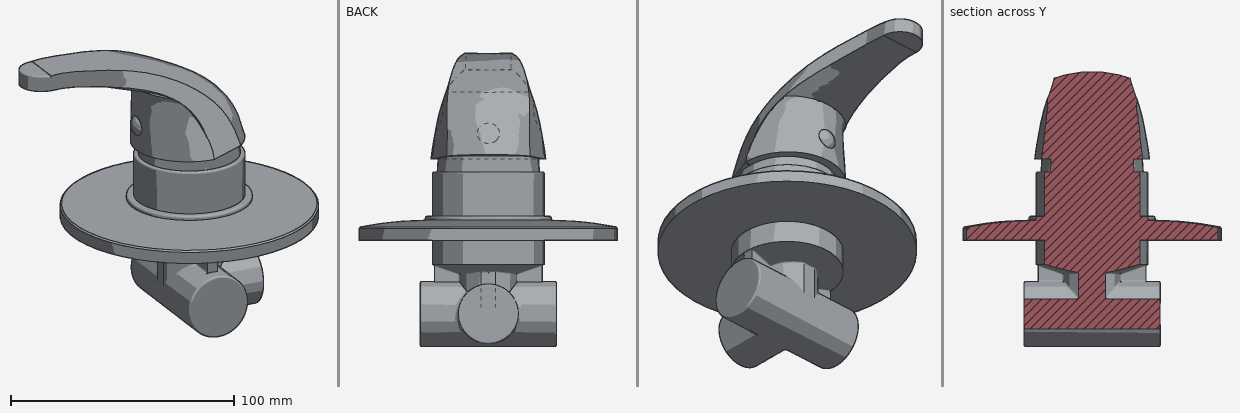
import cadquery as cq

inlet_radius = 14.6
inlet_length = 61.2
outlet_radius = 13.5
outlet_reach = 30.9
pipe_end_fillet = 0.8
outlet_blend = 1.7

neck_half_width = 12.9
neck_front = 14.3
neck_back = 15.6
neck_flat_half = 3.3
neck_shoulder_x = 9.9
neck_front_shoulder = 9.3
neck_back_shoulder = 10.2

rib_half_length = 24.2
rib_thickness = 5.0

casting_blend = 0.8
cone_blend = 0.7
cone_corner_depth = 4.4
cone_corner_margin = 0.1

root_overlap = 4.2

body_radius = 25.0
body_bottom = 22.2
body_top = 63.7
body_top_fillet = 0.8
cone_small_radius = 9.2
cone_bottom = 16.7

plate_radius = 57.99
plate_bottom = 33.0
plate_edge_top = 39.1
plate_edge_round = 0.7
plate_dome_top = 42.0
plate_dome_middle = (43.2, 41.2)
ring_radius = 28.3
ring_top = 43.9
ring_round = 1.1

collar_radius = 23.0
collar_top_radius = 22.5
collar_top = 70.8

handle_front = 26.5
handle_base_levels = [
    (69.4, 25.8, 0.0),
    (77.2, 24.6, -1.5),
    (85.0, 23.1, -5.1),
    (93.0, 21.1, -10.2),
    (99.4, 18.8, -18.4),
]
handle_base_back = 4.2

tip_radius = 10.0
tip_top = 116.7
tip_thickness = 7.2
tip_fillet = 0.7
tip_center_y = tip_radius - 83.61

screw_z = 81.0
screw_radius = 4.5
screw_height = 2.0

lever_stations = [
    ((24.9, 71.5), (-17.6, -1.5), 8.2, 18.7, 25.0, 25.8, 0.3),
    ((10.6, 96.0), (-1.0, -1.0), 6.7, 18.5, 20.0, 23.8, 0.3),
    ((-4.2, 105.2), (-0.4, -0.9), 4.0, 17.8, 13.5, 21.2, 0.3),
    ((-26.9, 113.1), (0.0, -1.0), 1.4, 15.2, 9.6, 16.5, 4.1),
    ((-46.7, 116.3), (0.0, -1.0), 0.5, 12.5, 8.5, 12.7, 2.7),
    ((-60.2, 117.0), (0.0, -1.0), 0.1, 10.8, 7.6, 10.9, 0.8),
    ((tip_center_y, tip_top), (0.0, -1.0), 0.1, tip_radius, tip_thickness, tip_radius, 0.1),
]


def z_cylinder(radius, bottom, top):
    return cq.Workplane("XY").workplane(offset=bottom).circle(radius).extrude(top - bottom)


def make_plate():
    edge_inner = plate_radius - plate_edge_round
    plate = (
        cq.Workplane("XZ")
        .moveTo(0, plate_bottom)
        .lineTo(plate_radius, plate_bottom)
        .lineTo(plate_radius, plate_edge_top - plate_edge_round)
        .lineTo(edge_inner, plate_edge_top)
        .threePointArc(plate_dome_middle, (ring_radius, plate_dome_top))
        .lineTo(0, plate_dome_top)
        .close()
        .revolve(360, (0, 0, 0), (0, 1, 0))
    )
    ring = z_cylinder(ring_radius, plate_bottom, ring_top).faces(">Z").edges().fillet(ring_round)
    return plate.union(ring)


def make_body():
    body = (
        cq.Workplane("YZ")
        .moveTo(0, cone_bottom)
        .lineTo(cone_small_radius, cone_bottom)
        .lineTo(body_radius, body_bottom)
        .lineTo(body_radius, body_top)
        .lineTo(0, body_top)
        .close()
        .revolve(360, (0, 0, 0), (0, 1, 0))
        .faces(">Z")
        .edges()
        .fillet(body_top_fillet)
    )
    collar = cq.Workplane("XY").add(
        cq.Solid.makeCone(
            collar_radius, collar_top_radius, collar_top - body_top, cq.Vector(0, 0, body_top)
        )
    )
    return body.union(collar)


def make_pipes():
    inlet = (
        cq.Workplane("YZ")
        .circle(inlet_radius)
        .extrude(inlet_length / 2, both=True)
        .faces("<X or >X")
        .edges()
        .fillet(pipe_end_fillet)
    )
    outlet = (
        cq.Workplane("XZ")
        .circle(outlet_radius)
        .extrude(-outlet_reach)
        .faces(">Y")
        .edges()
        .fillet(pipe_end_fillet)
    )
    meeting = cq.selectors.BoxSelector(
        (-outlet_radius, 0, -outlet_radius), (outlet_radius, inlet_radius, outlet_radius)
    )
    return inlet.union(outlet).edges(meeting).fillet(outlet_blend)


def make_neck():
    return (
        cq.Workplane("XY")
        .moveTo(-neck_flat_half, -neck_front)
        .lineTo(neck_flat_half, -neck_front)
        .threePointArc((neck_shoulder_x, -neck_front_shoulder), (neck_half_width, 0))
        .threePointArc((neck_shoulder_x, neck_back_shoulder), (neck_flat_half, neck_back))
        .lineTo(-neck_flat_half, neck_back)
        .threePointArc((-neck_shoulder_x, neck_back_shoulder), (-neck_half_width, 0))
        .threePointArc((-neck_shoulder_x, -neck_front_shoulder), (-neck_flat_half, -neck_front))
        .close()
        .extrude(body_bottom + root_overlap)
    )


def make_ribs():
    return cq.Workplane("XY").box(
        2 * rib_half_length, rib_thickness, body_bottom + root_overlap, centered=(True, True, False)
    )


def handle_base_section(height, half_width, side_y):
    left = cq.Vector(-half_width, side_y, height)
    right = cq.Vector(half_width, side_y, height)
    front = cq.Vector(0, -handle_front, height)
    back = cq.Vector(0, side_y + handle_base_back, height)
    return cq.Wire.assembleEdges(
        [cq.Edge.makeThreePointArc(left, front, right), cq.Edge.makeThreePointArc(right, back, left)]
    )


def make_handle_base():
    sections = [handle_base_section(*level) for level in handle_base_levels]
    return cq.Workplane("XY").add(cq.Solid.makeLoft(sections))


def lever_section(crest, inward, upper_depth, upper_half, lower_depth, lower_half, bulge):
    direction = cq.Vector(0, *inward).normalized()
    top = cq.Vector(0, *crest)
    across = cq.Vector(1, 0, 0)

    def point(x, depth):
        return top + across * x + direction * depth

    edges = [
        cq.Edge.makeThreePointArc(point(-upper_half, upper_depth), top, point(upper_half, upper_depth)),
        cq.Edge.makeLine(point(upper_half, upper_depth), point(lower_half, lower_depth)),
        cq.Edge.makeThreePointArc(
            point(lower_half, lower_depth),
            point(0, lower_depth + bulge),
            point(-lower_half, lower_depth),
        ),
        cq.Edge.makeLine(point(-lower_half, lower_depth), point(-upper_half, upper_depth)),
    ]
    return cq.Wire.assembleEdges(edges)


def make_lever():
    arm = cq.Solid.makeLoft([lever_section(*station) for station in lever_stations])
    tip = (
        cq.Workplane("XY", origin=(0, tip_center_y, tip_top - tip_thickness))
        .moveTo(-tip_radius, 0)
        .threePointArc((0, -tip_radius), (tip_radius, 0))
        .close()
        .extrude(tip_thickness)
        .faces(">Z")
        .edges("<Y")
        .fillet(tip_fillet)
    )
    return cq.Workplane("XY").add(arm).union(tip)


def make_screw():
    sphere_radius = (screw_radius**2 + screw_height**2) / (2 * screw_height)
    return cq.Workplane("XY").sphere(sphere_radius).translate(
        (0, -handle_front - screw_height + sphere_radius, screw_z)
    )


def edges_centered_in(part, low_corner, high_corner):
    """Edges of the part whose centers lie inside the box, leaving out the vertical ones."""
    box = cq.selectors.BoxSelector(low_corner, high_corner)
    return part.edges(box - cq.selectors.ParallelDirSelector(cq.Vector(0, 0, 1)))


def make_housing():
    corners = cq.selectors.BoxSelector(
        (-inlet_radius, -rib_thickness, 0), (inlet_radius, rib_thickness, body_top)
    )
    support = make_neck().union(make_ribs()).edges("|Z").edges(corners).fillet(casting_blend)
    housing = make_body().union(support).union(make_pipes())

    reach_y = neck_back + casting_blend
    low_corner = (-body_radius, -reach_y, body_bottom - cone_corner_depth)
    high_corner = (body_radius, reach_y, body_bottom - cone_corner_margin)
    housing = edges_centered_in(housing, low_corner, high_corner).fillet(cone_blend)

    low_corner = (-inlet_radius, -inlet_radius, neck_flat_half / 2)
    high_corner = (inlet_radius, -rib_thickness, inlet_radius)
    return edges_centered_in(housing, low_corner, high_corner).fillet(casting_blend)


result = (
    make_housing()
    .union(make_plate())
    .union(make_handle_base())
    .union(make_lever())
    .union(make_screw())
)